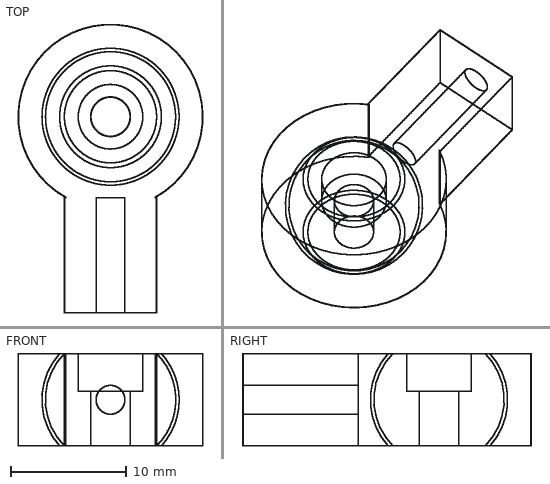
import cadquery as cq
import math

eye_diameter = 16.0
height = 8.0
overall_length = 25.0
shank_width = height
shank_length = 10.0
shank_hole_diameter = 2.5

ball_flat_diameter = 8.0
seat_clearance = 0.3
screw_hole_diameter = 3.4
counterbore_diameter = 5.6
counterbore_depth = 3.25

eye_center_y = (overall_length - eye_diameter) / 2
shank_end_y = -overall_length / 2
ball_radius = math.hypot(ball_flat_diameter / 2, height / 2)
seat_radius = ball_radius + seat_clearance


def cylinder_on_eye_axis(diameter, bottom_z, length):
    return (
        cq.Workplane("XY", origin=(0, eye_center_y, bottom_z))
        .circle(diameter / 2)
        .extrude(length)
    )


def sphere_at_eye(radius):
    return cq.Workplane("XY", origin=(0, eye_center_y, 0)).sphere(radius)


def make_housing():
    eye = cylinder_on_eye_axis(eye_diameter, -height / 2, height)
    shank = cq.Workplane("XY", origin=(0, shank_end_y + shank_length / 2, 0)).box(
        shank_width, shank_length, height
    )
    shank_hole = (
        cq.Workplane("XZ", origin=(0, shank_end_y, 0))
        .circle(shank_hole_diameter / 2)
        .extrude(-shank_length)
    )
    return eye.union(shank).cut(sphere_at_eye(seat_radius)).cut(shank_hole)


def make_ball():
    truncated_sphere = sphere_at_eye(ball_radius).intersect(
        cylinder_on_eye_axis(2 * seat_radius, -height / 2, height)
    )
    screw_hole = cylinder_on_eye_axis(screw_hole_diameter, -height / 2, height)
    counterbore = cylinder_on_eye_axis(
        counterbore_diameter, height / 2 - counterbore_depth, counterbore_depth
    )
    return truncated_sphere.cut(screw_hole).cut(counterbore)


housing = make_housing()
ball = make_ball()

result = cq.Compound.makeCompound([housing.val(), ball.val()])